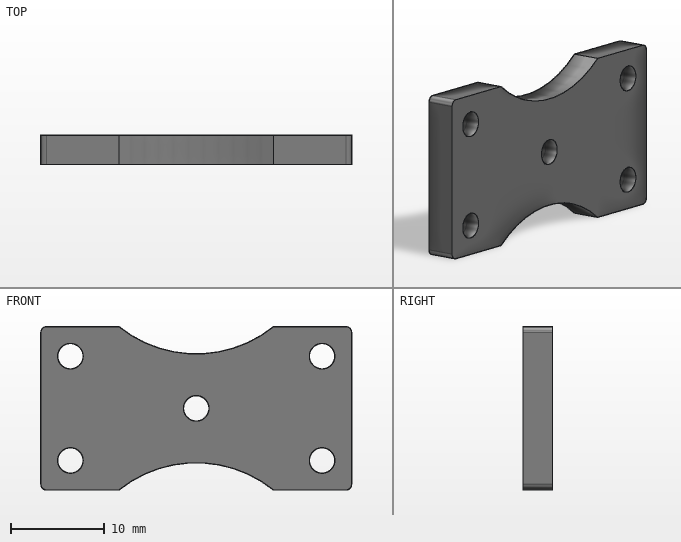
import cadquery as cq

length = 33.29
thickness = 3.175
height = 17.51
corner_radius = 0.635

notch_width = 16.55
notch_depth = 2.92

hole_diameter = 2.7
hole_spacing_x = 26.94
hole_spacing_z = 11.16


def make_plate():
    """Rectangular plate with rounded corners along the thickness direction."""
    return cq.Workplane("XY").box(length, thickness, height).edges("|Y").fillet(corner_radius)


def make_notch(side):
    """Circular-segment cutter for the top (side = 1) or bottom (side = -1) edge."""
    edge_z = side * height / 2
    floor_z = side * (height / 2 - notch_depth)
    return (
        cq.Workplane("XZ")
        .moveTo(-notch_width / 2, edge_z)
        .threePointArc((0, floor_z), (notch_width / 2, edge_z))
        .close()
        .extrude(thickness, both=True)
    )


def make_holes():
    """Cylindrical cutters for the centre hole and the four corner holes."""
    return (
        cq.Workplane("XZ")
        .rect(hole_spacing_x, hole_spacing_z, forConstruction=True)
        .vertices()
        .circle(hole_diameter / 2)
        .extrude(thickness, both=True)
        .union(cq.Workplane("XZ").circle(hole_diameter / 2).extrude(thickness, both=True))
    )


result = make_plate()
for side in (1, -1):
    result = result.cut(make_notch(side))
result = result.cut(make_holes())